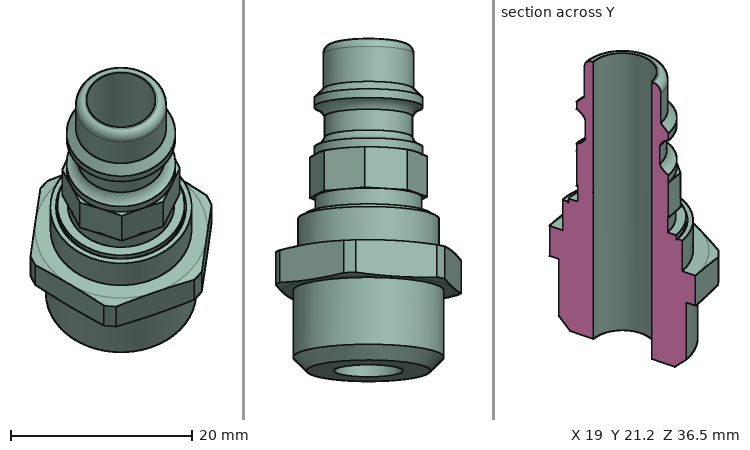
import cadquery as cq
import math

length = 36.5
bore_diameter = 7.6

corner_chamfer_slope = math.tan(math.radians(10))

thread_diameter = 16.65
thread_chamfer = 1.5
hex_bottom = 8.98
hex_top = 13.0
hex_across_flats = 19.0
hex_corner_diameter = 21.2

body_diameter = 15.6
body_top = 17.0
seat_diameter = 14.0
seat_top = 17.45
seat_groove_size = 0.2

neck_diameter = 11.8
octagon_bottom = 19.4
octagon_top = 24.0
octagon_across_flats = 12.0

collar_diameter = octagon_across_flats
waist_diameter = 9.75
waist_flare_radius = 1.75
lower_collar_top = 25.0
waist_bottom = 26.1
waist_top = 28.45
ring_bottom = 29.53
ring_top = 30.5
tip_diameter = 10.0
tip_fillet = 1.02


def cylinder(diameter, bottom, top):
    return cq.Workplane("XY").workplane(offset=bottom).circle(diameter / 2).extrude(top - bottom)


def regular_prism(sides, across_flats, bottom, top):
    """Upright prism with one flat facing +X."""
    across_corners = across_flats / math.cos(math.pi / sides)
    prism = cq.Workplane("XY").workplane(offset=bottom).polygon(sides, across_corners).extrude(top - bottom)
    return prism.rotate((0, 0, 0), (0, 0, 1), 180 / sides)


def chamfer_envelope(flat_radius, corner_radius, bottom, top, bottom_drop, top_drop):
    """Turned blank whose end cones start at the flats and fall towards the corners."""
    return (
        cq.Workplane("XZ")
        .moveTo(0, bottom)
        .lineTo(flat_radius, bottom)
        .lineTo(corner_radius, bottom + bottom_drop)
        .lineTo(corner_radius, top - top_drop)
        .lineTo(flat_radius, top)
        .lineTo(0, top)
        .close()
        .revolve()
    )


def wrench_hexagon():
    """Hexagon with turned corners and shallow conical chamfers on both ends."""
    flat_radius = hex_across_flats / 2
    corner_radius = hex_corner_diameter / 2
    drop = (corner_radius - flat_radius) * corner_chamfer_slope
    envelope = chamfer_envelope(flat_radius, corner_radius, hex_bottom, hex_top, drop, drop)
    return regular_prism(6, hex_across_flats, hex_bottom, hex_top).intersect(envelope)


def nipple_octagon():
    """Octagon with sharp corners and a shallow conical chamfer on its upper end."""
    flat_radius = octagon_across_flats / 2
    blank_radius = octagon_across_flats
    drop = (blank_radius - flat_radius) * corner_chamfer_slope
    envelope = chamfer_envelope(flat_radius, blank_radius, octagon_bottom, octagon_top, 0, drop)
    return regular_prism(8, octagon_across_flats, octagon_bottom, octagon_top).intersect(envelope)


def seated_body():
    """Round body with a V groove around the insert seat."""
    body = cylinder(body_diameter, hex_top, body_top)
    seat_radius = seat_diameter / 2
    groove = (
        cq.Workplane("XZ")
        .moveTo(seat_radius, body_top)
        .lineTo(seat_radius + seat_groove_size, body_top)
        .lineTo(seat_radius, body_top - seat_groove_size)
        .close()
        .revolve(360, (0, 0), (0, 1))
    )
    return body.cut(groove).union(cylinder(seat_diameter, body_top, seat_top))


def nipple():
    """Turned nipple: collar, flared waist, locking ring and rounded tip."""
    collar_radius = collar_diameter / 2
    waist_radius = waist_diameter / 2
    tip_radius = tip_diameter / 2
    ring_cone_top = ring_top + collar_radius - tip_radius
    profile = (
        cq.Workplane("XZ")
        .moveTo(0, octagon_top)
        .lineTo(collar_radius, octagon_top)
        .lineTo(collar_radius, lower_collar_top)
        .radiusArc((waist_radius, waist_bottom), waist_flare_radius)
        .lineTo(waist_radius, waist_top)
        .radiusArc((collar_radius, ring_bottom), waist_flare_radius)
        .lineTo(collar_radius, ring_top)
        .lineTo(tip_radius, ring_cone_top)
        .lineTo(tip_radius, length)
        .lineTo(0, length)
        .close()
    )
    return profile.revolve().faces(">Z").edges().fillet(tip_fillet)


threaded_end = cylinder(thread_diameter, 0, hex_bottom).faces("<Z").chamfer(thread_chamfer)
neck = cylinder(neck_diameter, seat_top, octagon_bottom)

result = (
    threaded_end
    .union(wrench_hexagon())
    .union(seated_body())
    .union(neck)
    .union(nipple_octagon())
    .union(nipple())
    .cut(cylinder(bore_diameter, 0, length))
)